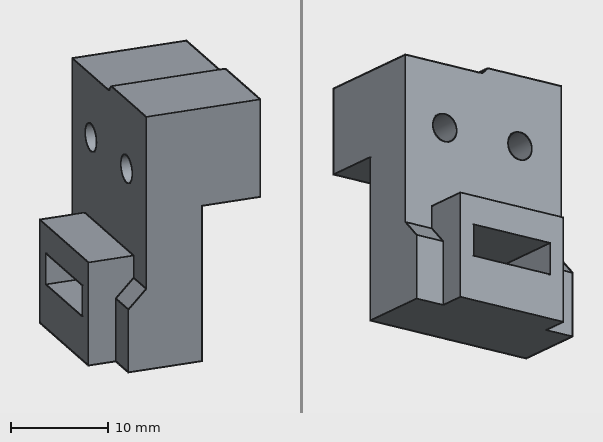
import cadquery as cq

width = 19.75
depth = 17.77
height = 27.98

head_depth = 12.73
head_bottom = 17.18
step_height = 0.7
step_start = 9.75
step_end = step_start + step_height

plate_back = 6.5
foot_slope = 2.0
foot_depth = head_depth + foot_slope
foot_height = 6.97

boss_width = 13.05
boss_left = 3.35
boss_height = 11.42
slot_width = 9.68
slot_height = 3.45
slot_left = 5.05
slot_bottom = 4.85

hole_diameter = 3.02
hole_spacing = 9.5
first_hole_x = 4.98
hole_z = 20.3


def make_block(x, z, size_x, size_z, back, front):
    """Box with its lower-left corner at (x, z), between two distances from the back."""
    block = cq.Workplane("XY").box(size_x, front - back, size_z, centered=False)
    return block.translate((x, -front, z))


head = (
    cq.Workplane("XZ")
    .moveTo(0, head_bottom + step_height)
    .lineTo(step_start, head_bottom + step_height)
    .lineTo(step_start, head_bottom)
    .lineTo(width, head_bottom)
    .lineTo(width, height)
    .lineTo(step_end, height)
    .lineTo(step_start, height - step_height)
    .lineTo(0, height - step_height)
    .close()
    .extrude(head_depth)
)

plate_top = head_bottom + step_height
plate = (
    cq.Workplane("YZ")
    .moveTo(-plate_back, 0)
    .lineTo(-foot_depth, 0)
    .lineTo(-foot_depth, foot_height)
    .lineTo(-head_depth, foot_height + foot_slope)
    .lineTo(-head_depth, plate_top)
    .lineTo(-plate_back, plate_top)
    .close()
    .extrude(width)
)

boss = make_block(boss_left, 0, boss_width, boss_height, plate_back, depth)
slot = make_block(slot_left, slot_bottom, slot_width, slot_height, 0, depth)

holes = (
    cq.Workplane("XZ")
    .pushPoints([(first_hole_x, hole_z), (first_hole_x + hole_spacing, hole_z)])
    .circle(hole_diameter / 2)
    .extrude(head_depth)
)

result = head.union(plate).union(boss).cut(slot).cut(holes)